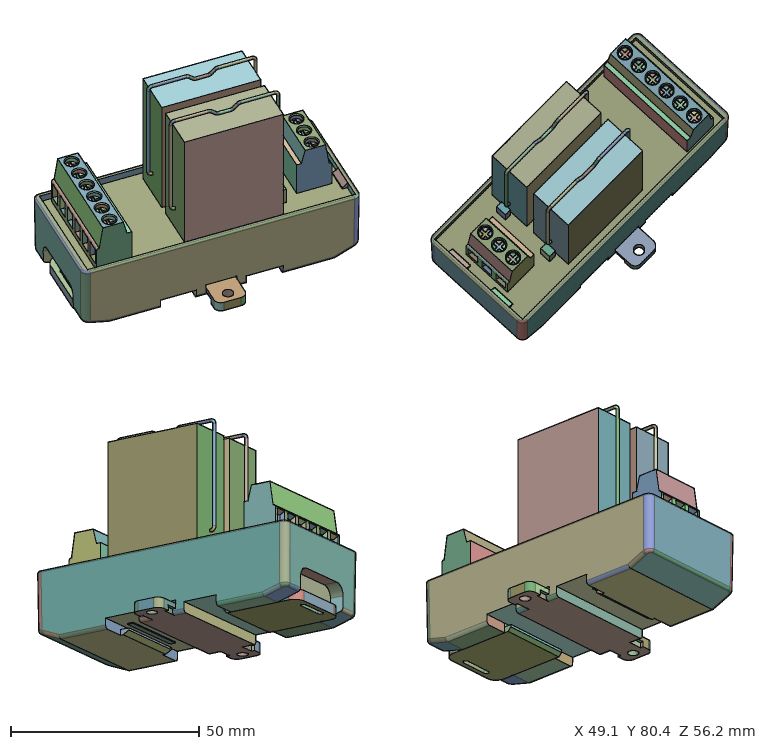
import cadquery as cq


housing_length = 80.4
housing_width = 34.7
housing_height = 20.0
draft_angle = 0.7
corner_radius = 2.0
bottom_fillet = 1.0
rim_fillet = 0.5
rim_wall_x = 1.2
rim_wall_back = 1.3
rim_wall_front = 1.7
end_slope_run = 7.6
back_slope_rise = 3.1
front_slope_rise = 2.0

rail_depth = 2.9
rail_front = -17.75
rail_back = 17.65
foot_front = -7.4
foot_back = 7.0
hook_reach = 2.7
hook_height = 1.6
hook_nose_z = 1.0
hook_bottom_reach = 0.9
stop_rib_y = 14.45
stop_rib_width = 1.7
stop_rib_height = 0.3

tab_span = 49.07
tab_width = 9.0
tab_y = -0.2
tab_thickness = rail_depth
tab_corner_radius = 2.0
tab_hole_diameter = 3.0
tab_hole_offset = 21.55
tab_notch_end = 20.5
tab_notch_depth = 1.0
tab_notch_height = 1.5
tab_slot_rise = 1.05
tab_slot_depth = 1.5

clip_width = 20.2
clip_thickness = rail_depth
clip_front = -39.15
clip_corner_radius = 3.0
clip_nose_reach = 2.3
clip_nose_height = 1.75
clip_nose_z = 1.0
clip_nose_bottom_reach = 1.3
clip_slot_length = 9.6
clip_slot_width = 1.5
clip_slot_y = -36.9
recess_back = -36.0
recess_height = 8.95
recess_radius = 3.0

board_top = 18.0
board_thickness = 1.6
snap_width = 6.65
snap_offset = 7.75
snap_reach = 1.6
snap_bottom = 18.3
snap_lip = 0.4
snap_top = 19.9

pole_pitch = 5.08
front_pole_count = 6
back_pole_count = 3
terminal_depth = 10.2
terminal_inner_y = 25.3
back_terminal_shift = 0.3
terminal_top = 32.3
inner_ledge_z = 28.05
inner_ledge_width = 1.35
top_inner = 2.45
top_outer = 8.35
outer_ledge_z = 25.5
outer_ledge_radius = 0.8
entry_width = 3.5
entry_top = outer_ledge_z - outer_ledge_radius
entry_bottom = 19.8
entry_depth = 1.2
entry_floor_width = 2.4
entry_floor_height = 3.3
entry_floor_drop = 0.25
screw_diameter = 4.1
screw_depth = 1.5
screw_slot_width = 0.8
screw_chamfer = 0.3
screw_slot_depth = 0.6

relay_width = 12.7
relay_length = 28.6
relay_y = 4.75
relay_top = 53.2
relay_spacing = 15.24
wire_diameter = 0.9
wire_half_span = 15.5
wire_top_outer = 56.16
wire_foot_z = 24.95
wire_bend_radius = 1.1
wire_dip_depth = 1.7
wire_dip_bottom = 2.2
wire_dip_mouth = 4.2

led_width = 3.25
led_front = 19.7
led_offset = 8.25
led_top = 22.6
led_lengths = {-1: 2.25, 1: 1.95}

half_length = housing_length / 2
pocket_width = housing_width - 2 * rim_wall_x
pocket_back = half_length - rim_wall_back
pocket_front = -half_length + rim_wall_front


def box(x_range, y_range, z_range):
    """Box between the given limits."""
    size = [high - low for low, high in (x_range, y_range, z_range)]
    corner = (x_range[0], y_range[0], z_range[0])
    return cq.Workplane("XY").box(*size, centered=False).translate(corner)


def profile_along_x(points, x_center, width):
    """Closed (y, z) outline extruded along X."""
    outline = cq.Workplane("YZ").polyline(points).close()
    return outline.extrude(width / 2, both=True).translate((x_center, 0, 0))


def is_underside_outline(edge):
    """True for the edges around the underside, leaving out the creases where its slopes begin."""
    limits = edge.BoundingBox()
    is_low = limits.zmax < back_slope_rise + bottom_fillet
    is_crease = limits.zmax < bottom_fillet and limits.xlen > housing_width / 2
    return is_low and not is_crease


def make_shell():
    """Drafted outer block with sloped underside ends, still without openings."""
    block = (
        cq.Workplane("XY", origin=(0, 0, housing_height))
        .rect(housing_width, housing_length)
        .extrude(-housing_height, taper=draft_angle)
    )
    side_outline = [
        (half_length, housing_height),
        (half_length, back_slope_rise),
        (half_length - end_slope_run, 0),
        (-half_length + end_slope_run, 0),
        (-half_length, front_slope_rise),
        (-half_length, housing_height),
    ]
    block = block.intersect(profile_along_x(side_outline, 0, housing_width))
    upright_edges = cq.selectors.BoxSelector(
        (-housing_width, -housing_length, housing_height / 4),
        (housing_width, housing_length, 3 * housing_height / 4),
    )
    block = block.edges(upright_edges).fillet(corner_radius)
    block = block.faces(">Z").edges().fillet(rim_fillet)
    outline_edges = [edge for edge in block.edges().vals() if is_underside_outline(edge)]
    return block.newObject(outline_edges).fillet(bottom_fillet)


def make_tab(side):
    """Mounting tab on one side; it reaches a little way into the wall."""
    inner_x = housing_width / 2 - tab_slot_depth
    outer_x = tab_span / 2
    tab = box((inner_x, outer_x), (-tab_width / 2, tab_width / 2), (0, tab_thickness))
    tab = tab.edges("|Z and >X").fillet(tab_corner_radius)
    hole = cq.Workplane("XY").center(tab_hole_offset, 0).circle(tab_hole_diameter / 2).extrude(tab_thickness)
    tab = tab.cut(hole)
    for y_sign in (-1, 1):
        notch_y = sorted((y_sign * tab_width / 2, y_sign * (tab_width / 2 - tab_notch_depth)))
        tab = tab.cut(box((inner_x, tab_notch_end), notch_y, (0, tab_notch_height)))
    if side < 0:
        tab = tab.mirror("YZ")
    return tab.translate((0, tab_y, 0))


def make_tab_relief(side):
    """Wedge above a tab, deepest at the outer wall face."""
    outer_x = side * housing_width / 2
    inner_x = side * (housing_width / 2 - tab_slot_depth)
    wedge = (
        cq.Workplane("XZ", origin=(0, tab_y, 0))
        .polyline([
            (outer_x, tab_thickness),
            (outer_x, tab_thickness + tab_slot_rise),
            (inner_x, tab_thickness),
        ])
        .close()
    )
    return wedge.extrude(tab_width / 2, both=True)


def make_handle_recess():
    """Arched opening in the -Y end wall around the clip handle."""
    recess = box((-clip_width / 2, clip_width / 2), (-half_length, recess_back), (0, recess_height))
    return recess.edges("|Y and >Z").fillet(recess_radius)


def make_snap(x_center):
    """Ramped snap on the +Y inner wall, just above the board."""
    nose_y = pocket_back - snap_reach
    outline = [
        (pocket_back, snap_bottom),
        (nose_y, snap_bottom),
        (nose_y, snap_bottom + snap_lip),
        (pocket_back, snap_top),
    ]
    return profile_along_x(outline, x_center, snap_width)


def make_fixed_hook():
    """Hook under the +Y edge of the rail channel."""
    outline = [
        (rail_back, 0),
        (rail_back, hook_height),
        (rail_back - hook_reach, hook_height),
        (rail_back - hook_reach, hook_nose_z),
        (rail_back - hook_bottom_reach, 0),
    ]
    return profile_along_x(outline, 0, clip_width)


def make_housing():
    """Housing with the rail channel, the board pocket, the clip guide, both tabs and the snaps."""
    housing = make_shell()
    across = (-housing_width / 2, housing_width / 2)
    for channel_range in ((rail_front, foot_front), (foot_back, rail_back)):
        housing = housing.cut(box(across, channel_range, (0, rail_depth)))
    rib_range = (stop_rib_y - stop_rib_width / 2, stop_rib_y + stop_rib_width / 2)
    clip_range = (-clip_width / 2, clip_width / 2)
    housing = housing.union(box(clip_range, rib_range, (rail_depth - stop_rib_height, rail_depth)))
    housing = housing.union(make_fixed_hook())

    board_pocket = box(
        (-pocket_width / 2, pocket_width / 2),
        (pocket_front, pocket_back),
        (board_top - board_thickness, housing_height),
    )
    housing = housing.cut(board_pocket)
    housing = housing.cut(make_handle_recess())
    housing = housing.cut(box(clip_range, (recess_back, rail_front), (0, clip_thickness)))
    for side in (-1, 1):
        housing = housing.cut(make_tab_relief(side))
        housing = housing.union(make_tab(side))
        housing = housing.union(make_snap(side * snap_offset))
    return housing


def make_rail_clip():
    """Sliding clip: slotted handle outside, plate inside, nose reaching into the rail channel."""
    clip = box((-clip_width / 2, clip_width / 2), (clip_front, rail_front), (0, clip_thickness))
    clip = clip.edges("|Z and <Y").fillet(clip_corner_radius)
    slot = (
        cq.Workplane("XY")
        .center(0, clip_slot_y)
        .slot2D(clip_slot_length, clip_slot_width)
        .extrude(clip_thickness)
    )
    nose_outline = [
        (rail_front, 0),
        (rail_front, clip_nose_height),
        (rail_front + clip_nose_reach, clip_nose_height),
        (rail_front + clip_nose_reach, clip_nose_z),
        (rail_front + clip_nose_bottom_reach, 0),
    ]
    return clip.cut(slot).union(profile_along_x(nose_outline, 0, clip_width))


def make_wire_entry(x_center):
    """Tapered wire opening in the outer face of a terminal block."""
    outer_y = terminal_inner_y + terminal_depth
    middle_z = (entry_top + entry_bottom) / 2
    mouth = cq.Workplane("XZ", origin=(x_center, outer_y, middle_z)).rect(entry_width, entry_top - entry_bottom)
    floor_plane = mouth.workplane(offset=entry_depth).center(0, -entry_floor_drop)
    return floor_plane.rect(entry_floor_width, entry_floor_height).loft()


def make_screw_recess(x_center):
    """Round screw well with a chamfered mouth and a cross slot in its floor."""
    screw_y = terminal_inner_y + (top_inner + top_outer) / 2
    floor_z = terminal_top - screw_depth
    floor = cq.Workplane("XY", origin=(x_center, screw_y, floor_z))
    well_diameter = screw_diameter - 2 * screw_chamfer
    well = floor.circle(well_diameter / 2).extrude(screw_depth)
    mouth = floor.workplane(offset=screw_depth).circle(screw_diameter / 2)
    well = well.union(mouth.workplane(offset=-screw_chamfer).circle(well_diameter / 2).loft())
    for slot_x, slot_y in (
        (well_diameter, screw_slot_width),
        (screw_slot_width, well_diameter),
    ):
        well = well.union(floor.rect(slot_x, slot_y).extrude(-screw_slot_depth))
    return well


def make_terminal(pole_count):
    """Terminal block with its wire entries facing +Y."""
    outer_y = terminal_inner_y + terminal_depth
    outline = [
        (terminal_inner_y, board_top),
        (terminal_inner_y, inner_ledge_z),
        (terminal_inner_y + inner_ledge_width, inner_ledge_z),
        (terminal_inner_y + top_inner, terminal_top),
        (terminal_inner_y + top_outer, terminal_top),
        (outer_y - outer_ledge_radius, outer_ledge_z),
    ]
    block = (
        cq.Workplane("YZ")
        .polyline(outline)
        .radiusArc((outer_y, entry_top), outer_ledge_radius)
        .lineTo(outer_y, board_top)
        .close()
        .extrude(pole_count * pole_pitch / 2, both=True)
    )
    for pole in range(pole_count):
        pole_x = (pole - (pole_count - 1) / 2) * pole_pitch
        block = block.cut(make_wire_entry(pole_x))
        block = block.cut(make_screw_recess(pole_x))
    return block


def make_retainer(x_center):
    """Wire bent over a relay, with a dip in the middle and its ends set into the relay."""
    wire_z = wire_top_outer - wire_diameter / 2
    dip_z = wire_z - wire_dip_depth
    end_y = relay_length / 2 - wire_diameter
    half_path = [
        (wire_dip_bottom, dip_z),
        (wire_dip_mouth, wire_z),
        (wire_half_span, wire_z),
        (wire_half_span, wire_foot_z),
        (end_y, wire_foot_z),
    ]
    other_half = [(-y, z) for y, z in reversed(half_path)]
    path_plane = cq.Workplane("YZ", origin=(x_center, relay_y, 0))
    bent_path = path_plane.polyline(other_half + half_path).wire().val()
    corners = bent_path.Vertices()[1:-1]
    bent_path = bent_path.fillet(wire_bend_radius, corners)
    start = cq.Workplane("XZ", origin=(x_center, relay_y - end_y, wire_foot_z))
    return start.circle(wire_diameter / 2).sweep(cq.Workplane(bent_path))


def make_board_assembly():
    """Circuit board with everything mounted on it."""
    board = box(
        (-pocket_width / 2, pocket_width / 2),
        (pocket_front, pocket_back),
        (board_top - board_thickness, board_top),
    )
    board = board.union(make_terminal(front_pole_count).mirror("XZ"))
    board = board.union(make_terminal(back_pole_count).translate((0, back_terminal_shift, 0)))
    for side in (-1, 1):
        relay_x = side * relay_spacing / 2
        relay = box(
            (relay_x - relay_width / 2, relay_x + relay_width / 2),
            (relay_y - relay_length / 2, relay_y + relay_length / 2),
            (board_top, relay_top),
        )
        board = board.union(relay).union(make_retainer(relay_x))
        led_x = side * led_offset
        led = box(
            (led_x - led_width / 2, led_x + led_width / 2),
            (led_front, led_front + led_lengths[side]),
            (board_top, led_top),
        )
        board = board.union(led)
    return board


housing = make_housing()
rail_clip = make_rail_clip()
board_assembly = make_board_assembly()

result = cq.Compound.makeCompound([housing.val(), rail_clip.val(), board_assembly.val()])